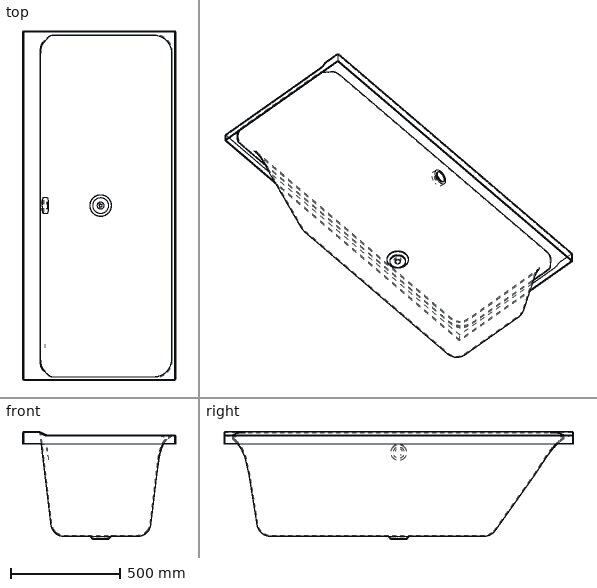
import cadquery as cq
import math


LENGTH = 1600.0
WIDTH = 701.0
HEIGHT = 495.0
WALL = 5.0

RIM_BOTTOM = -56.0
DECK_Z = -15.2
LEDGE_EDGE_X = -280.0
DECK_EDGE_X = -240.0
RIM_ROUND = 6.0

FLOOR_Z = -475.0
SEAM_Z = -195.0
SIDE_SLOPE = 0.12
FOOT_SLOPE = 0.16
HEAD_SLOPE = 0.71
LEDGE_SIDE_REACH = 211.0
FAR_SIDE_REACH = 225.0
FOOT_REACH = 637.0
HEAD_REACH = 421.0
FAR_RIM_REACH = 331.0
FOOT_RIM_REACH = 784.0
HEAD_RIM_REACH = 780.0
FLARE_END_SLOPE = 2.5
RIM_CORNER_ROUND = 80.0
BASIN_ROUND = 60.0

DRAIN_X = 6.0
BOSS_TOP_D = 98.0
BOSS_BOTTOM_D = 72.0
DISH_TOP_D = 100.0
DRAIN_DISC_D = 72.0
DRAIN_DISC_T = 6.0
DRAIN_KNOB_D = 32.0
DRAIN_KNOB_T = 3.0
DRAIN_DIMPLE_D = 13.0
DRAIN_STEM_D = 24.0
DRAIN_EDGE = 3.0

OVERFLOW_Z = -96.0
CAP_D = 72.0
CAP_T = 21.0
CAP_EDGE = 3.0
CAP_RECESS_D = 32.0
CAP_RECESS_DEPTH = 3.0
NECK_D = 51.0
NECK_CONE_END_D = 13.0
NECK_CONE_DEPTH = 3.0

FLOOR_UNDER = FLOOR_Z - WALL
DISH_Z = -HEIGHT + WALL
ABOVE = 32.0


def run_at(reach, slope, z):
    """Distance of a straight leaning wall from the centre at height z."""
    return reach + slope * (z - FLOOR_Z)


def outset(distance, z, slope, thickness):
    """Move a point of a leaning wall outward, square to the wall."""
    length = math.hypot(1, slope)
    return distance + thickness / length, z - thickness * slope / length


def wall_foot(reach, slope, thickness):
    """Distance from the centre where a thickened wall meets the thickened floor."""
    return run_at(reach, slope, FLOOR_Z - thickness) + thickness * math.hypot(1, slope)


def flared_wall_points(reach, slope, rim_reach, thickness):
    """Foot, seam and rim of a flared wall, each as (distance from the centre, z)."""
    foot = (wall_foot(reach, slope, thickness), FLOOR_Z - thickness)
    seam = outset(run_at(reach, slope, SEAM_Z), SEAM_Z, slope, thickness)
    rim = outset(rim_reach, DECK_Z, FLARE_END_SLOPE, thickness)
    return foot, seam, rim


def climb_positive_wall(outline, reach, slope, rim_reach, thickness):
    """Continue an outline from the floor up the wall on the positive side to the top."""
    foot, seam, rim = flared_wall_points(reach, slope, rim_reach, thickness)
    tangents = [(slope, 1), (FLARE_END_SLOPE, 1)]
    outline = outline.lineTo(*foot).lineTo(*seam).spline([rim], tangents=tangents, includeCurrent=True)
    return outline.lineTo(rim[0], ABOVE)


def descend_negative_wall(outline, reach, slope, rim_reach, thickness):
    """Continue an outline from the top down the wall on the negative side to the floor."""
    foot, seam, rim = flared_wall_points(reach, slope, rim_reach, thickness)
    tangents = [(FLARE_END_SLOPE, -1), (slope, -1)]
    outline = outline.lineTo(-rim[0], ABOVE).lineTo(-rim[0], rim[1])
    outline = outline.spline([(-seam[0], seam[1])], tangents=tangents, includeCurrent=True)
    return outline.lineTo(-foot[0], foot[1])


def lengthwise_prism(thickness):
    """Basin outline from the foot end to the head end, swept across the width."""
    outline = cq.Workplane("YZ").workplane(offset=-WIDTH / 2).moveTo(0, FLOOR_Z - thickness)
    outline = climb_positive_wall(outline, HEAD_REACH, HEAD_SLOPE, HEAD_RIM_REACH, thickness)
    outline = descend_negative_wall(outline, FOOT_REACH, FOOT_SLOPE, FOOT_RIM_REACH, thickness)
    return outline.close().extrude(WIDTH)


def crosswise_prism(thickness):
    """Basin outline from the plain ledge-side wall to the flared far wall, swept along the length."""
    ledge_foot = wall_foot(LEDGE_SIDE_REACH, SIDE_SLOPE, thickness)
    ledge_top = ledge_foot + SIDE_SLOPE * (ABOVE - FLOOR_Z + thickness)
    outline = cq.Workplane("XZ").workplane(offset=-LENGTH / 2).moveTo(-ledge_foot, FLOOR_Z - thickness)
    outline = climb_positive_wall(outline, FAR_SIDE_REACH, SIDE_SLOPE, FAR_RIM_REACH, thickness)
    return outline.lineTo(-ledge_top, ABOVE).close().extrude(LENGTH)


def opening_prism(thickness):
    """Upright prism that rounds the far corners of the opening."""
    far = FAR_RIM_REACH + thickness
    foot = FOOT_RIM_REACH + thickness
    head = HEAD_RIM_REACH + thickness
    block = cq.Workplane("XY").box(2 * far, foot + head, HEIGHT + ABOVE, centered=(True, False, False))
    block = block.edges("|Z and >X").fillet(RIM_CORNER_ROUND + thickness)
    return block.translate((0, -foot, -HEIGHT))


def basin(thickness):
    """Solid basin shape: the inner surface moved outward by the given thickness."""
    shape = lengthwise_prism(thickness).intersect(crosswise_prism(thickness)).clean()
    wall_heights = cq.selectors.BoxSelector(
        (-WIDTH, -LENGTH, FLOOR_Z + BASIN_ROUND),
        (WIDTH, LENGTH, RIM_BOTTOM),
    )
    rounding = BASIN_ROUND + thickness
    shape = shape.edges(wall_heights).edges("not(#Z or |X or |Y)").fillet(rounding)
    shape = shape.faces("<Z").edges().fillet(rounding)
    return shape.intersect(opening_prism(thickness))


def rim_block(inset, bottom):
    """Solid under the rim's top surface: ledge, falling curve and deck, all moved inward by the inset."""
    side = WIDTH / 2 - inset
    half_length = LENGTH / 2 - inset
    return (
        cq.Workplane("XZ")
        .workplane(offset=-half_length)
        .moveTo(-side, bottom)
        .lineTo(-side, -inset)
        .lineTo(LEDGE_EDGE_X, -inset)
        .spline([(DECK_EDGE_X, DECK_Z - inset)], tangents=[(1, 0), (1, 0)], includeCurrent=True)
        .lineTo(side, DECK_Z - inset)
        .lineTo(side, bottom)
        .close()
        .extrude(2 * half_length)
    )


def lay_on_wall(solid):
    """Carry a shape built along +Z to the overflow spot, square to the ledge-side wall."""
    lean = math.degrees(math.atan(SIDE_SLOPE))
    wall_x = -run_at(LEDGE_SIDE_REACH, SIDE_SLOPE, OVERFLOW_Z)
    return solid.rotate((0, 0, 0), (0, 1, 0), 90 - lean).translate((wall_x, 0, OVERFLOW_Z))


def cylinder(diameter, bottom, top):
    return cq.Workplane("XY").workplane(offset=bottom).circle(diameter / 2).extrude(top - bottom)


def cone(bottom_d, bottom, top_d, top):
    return cq.Workplane(cq.Solid.makeCone(bottom_d / 2, top_d / 2, top - bottom, cq.Vector(0, 0, bottom)))


def make_rim():
    """Hollow rim: rounded block with an open underside."""
    rim = rim_block(0, RIM_BOTTOM)
    rim = rim.edges("|Z").fillet(RIM_ROUND)
    rim = rim.faces("<X or >X or <Y or >Y").edges("not(<Z or |Z)").fillet(RIM_ROUND)
    return rim.cut(rim_block(WALL, RIM_BOTTOM - ABOVE))


def make_tub():
    outside = basin(WALL).intersect(rim_block(WALL / 2, FLOOR_UNDER))
    boss = cone(BOSS_BOTTOM_D, -HEIGHT, BOSS_TOP_D, FLOOR_UNDER).translate((DRAIN_X, 0, 0))
    body = make_rim().union(outside).union(boss).cut(basin(0))

    dish = cone(DRAIN_DISC_D, DISH_Z, DISH_TOP_D, FLOOR_Z)
    stem_hole = cylinder(DRAIN_STEM_D, -HEIGHT, DISH_Z)
    body = body.cut(dish.translate((DRAIN_X, 0, 0))).cut(stem_hole.translate((DRAIN_X, 0, 0)))

    overflow_hole = cylinder(NECK_D, -2 * WALL, WALL)
    return body.cut(lay_on_wall(overflow_hole))


def make_drain():
    """Disc seated in the floor dish, with a dimpled knob on top and a stem through the boss."""
    disc_top = DISH_Z + DRAIN_DISC_T
    knob_top = disc_top + DRAIN_KNOB_T
    disc = cylinder(DRAIN_DISC_D, DISH_Z, disc_top).faces(">Z").edges().fillet(DRAIN_EDGE)
    knob = cylinder(DRAIN_KNOB_D, disc_top, knob_top)
    dimple = cylinder(DRAIN_DIMPLE_D, disc_top, knob_top)
    stem = cylinder(DRAIN_STEM_D, -HEIGHT, DISH_Z)
    return disc.union(stem).union(knob).cut(dimple).translate((DRAIN_X, 0, 0))


def make_overflow():
    """Round cap on the inner wall, with a neck that fills the hole and has a conical end."""
    cap = cylinder(CAP_D, 0, CAP_T).faces(">Z").edges().fillet(CAP_EDGE)
    cap = cap.cut(cylinder(CAP_RECESS_D, CAP_T - CAP_RECESS_DEPTH, CAP_T))
    neck = cylinder(NECK_D, -WALL, 0).cut(cone(NECK_D, -WALL, NECK_CONE_END_D, NECK_CONE_DEPTH - WALL))
    return lay_on_wall(cap.union(neck))


tub = make_tub()
drain = make_drain()
overflow = make_overflow()

result = cq.Compound.makeCompound([tub.val(), drain.val(), overflow.val()])